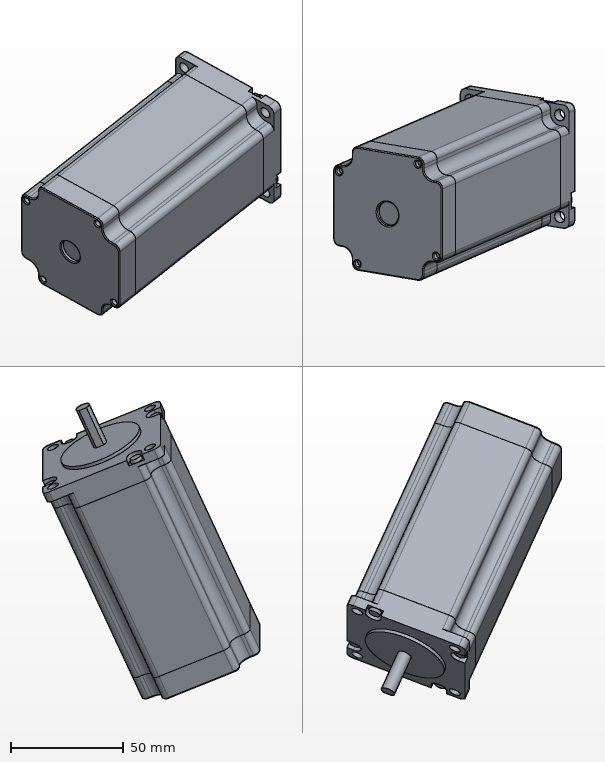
import cadquery as cq

width = 57.0
total_length = 133.0
body_length = 112.0
shaft_reach = total_length - body_length

flange_thickness = 4.8
front_length = 12.1
rear_length = 11.5
stator_length = body_length - front_length - rear_length

corner_radius = 3.0
mount_hole_offset = 23.5
mount_hole_diameter = 5.2
notch_wall_offset = 18.8
notch_radius = 5.0

pilot_diameter = 38.2
pilot_height = 1.6
shaft_diameter = 6.4
shaft_flat_offset = 2.7

rear_chamfer = 0.5
rear_recess_diameter = 12.0
rear_recess_depth = 1.9
rear_recess_chamfer = 0.5

screw_near_offset = 15.8
screw_far_offset = 25.4
screw_diameter = 2.9
screw_head_diameter = 5.9
screw_head_top_diameter = 5.0
screw_head_height = 1.6
screw_tip_recess = 2.7
screw_hole_chamfer = 0.5
screw_slot_width = 7.5
screw_slot_depth = 2.8

half_width = width / 2
notch_middle = (half_width + notch_wall_offset) / 2
front_back_y = -front_length
rear_front_y = front_back_y - stator_length
rear_face_y = -body_length
overcut = 1.3

SCREW_ANGLES = [0, 90, 180, 270]


def along_minus_y(y):
    """Sketch plane at height y, with local axes +X and +Z, that extrudes towards -Y."""
    return cq.Workplane("XZ", origin=(0, y, 0))


def turned(shape, angle):
    """Turn a shape about the motor axis."""
    return shape.rotate((0, 0, 0), (0, 1, 0), angle)


def notched_block(y, length):
    """Square block with a rounded notch at each corner, running from y towards -Y."""
    upright = along_minus_y(y).rect(2 * notch_wall_offset, width).extrude(length)
    crosswise = along_minus_y(y).rect(width, 2 * notch_wall_offset).extrude(length)
    cross = upright.union(crosswise)
    concave_edges = cq.selectors.BoxSelector(
        (-notch_middle, y - length, -notch_middle),
        (notch_middle, y, notch_middle),
    )
    block = cross.edges("|Y").edges(concave_edges).fillet(notch_radius)
    outer_faces = block.faces("<X or >X or <Z or >Z")
    return outer_faces.edges("|Y").fillet(corner_radius)


def screw_cylinder(y, diameter, length):
    """Cylinder on the first screw axis, from y towards -Y."""
    return (
        along_minus_y(y)
        .center(screw_near_offset, screw_far_offset)
        .circle(diameter / 2)
        .extrude(length)
    )


def cut_screw_holes(body):
    """Cut the four screw holes through the whole length of a body."""
    hole = screw_cylinder(overcut, screw_diameter, body_length + 2 * overcut)
    for angle in SCREW_ANGLES:
        body = body.cut(turned(hole, angle))
    return body


def make_shaft():
    """Shaft from the mounting face to the tip, with a flat on the -Z side."""
    shaft = along_minus_y(shaft_reach).circle(shaft_diameter / 2).extrude(shaft_reach)
    flat = (
        along_minus_y(shaft_reach)
        .center(0, -shaft_flat_offset - shaft_diameter / 2)
        .rect(2 * shaft_diameter, shaft_diameter)
        .extrude(shaft_reach - pilot_height)
    )
    return shaft.cut(flat)


def make_screw_slot():
    """Round-ended pocket for a screw head, open to the front and to the side of the flange."""
    round_end = screw_cylinder(overcut, screw_slot_width, screw_slot_depth + overcut)
    opening_length = half_width + overcut - screw_far_offset
    opening = (
        along_minus_y(overcut)
        .center(screw_near_offset, screw_far_offset + opening_length / 2)
        .rect(screw_slot_width, opening_length)
        .extrude(screw_slot_depth + overcut)
    )
    return round_end.union(opening)


def make_front_cap():
    """Mounting flange with pilot and integral shaft, and the notched part that meets the stator."""
    flange = (
        along_minus_y(0)
        .rect(width, width)
        .extrude(flange_thickness)
        .edges("|Y")
        .fillet(corner_radius)
    )
    mount_holes = (
        along_minus_y(0)
        .rect(2 * mount_hole_offset, 2 * mount_hole_offset, forConstruction=True)
        .vertices()
        .circle(mount_hole_diameter / 2)
        .extrude(flange_thickness)
    )
    cap = flange.cut(mount_holes)
    cap = cap.union(notched_block(-flange_thickness, front_length - flange_thickness))
    slot = make_screw_slot()
    for angle in SCREW_ANGLES:
        cap = cap.cut(turned(slot, angle))
    cap = cut_screw_holes(cap)
    pilot = along_minus_y(pilot_height).circle(pilot_diameter / 2).extrude(pilot_height)
    return cap.union(pilot).union(make_shaft())


def make_stator():
    """Middle of the housing."""
    return cut_screw_holes(notched_block(front_back_y, stator_length))


def rear_countersink(diameter, depth):
    """45 degree cone on the motor axis that widens to the given diameter at the rear face."""
    return (
        along_minus_y(rear_face_y + depth)
        .circle(diameter / 2 - depth)
        .workplane(offset=depth)
        .circle(diameter / 2)
        .loft(ruled=True)
    )


def make_rear_cap():
    """Rear of the housing, with a chamfered outline and a shallow round recess."""
    cap = notched_block(rear_front_y, rear_length).faces("<Y").chamfer(rear_chamfer)
    recess = (
        along_minus_y(rear_face_y + rear_recess_depth)
        .circle(rear_recess_diameter / 2 - rear_recess_chamfer)
        .extrude(rear_recess_depth)
    )
    cap = cap.cut(recess).cut(rear_countersink(rear_recess_diameter, rear_recess_chamfer))
    cap = cut_screw_holes(cap)
    countersink_diameter = screw_diameter + 2 * screw_hole_chamfer
    countersink = rear_countersink(countersink_diameter, screw_hole_chamfer).translate(
        (screw_near_offset, 0, screw_far_offset)
    )
    for angle in SCREW_ANGLES:
        cap = cap.cut(turned(countersink, angle))
    return cap


def make_screw():
    """Screw on the first screw axis, with its head on the floor of the slot."""
    base_radius = screw_head_diameter / 2
    top_radius = screw_head_top_diameter / 2
    taper = base_radius - top_radius
    side_arc_radius = (taper**2 + screw_head_height**2) / (2 * taper)
    head = (
        cq.Workplane("XY")
        .lineTo(base_radius, 0)
        .radiusArc((top_radius, screw_head_height), -side_arc_radius)
        .lineTo(0, screw_head_height)
        .close()
        .revolve(360, (0, 0), (0, 1))
        .translate((screw_near_offset, -screw_slot_depth, screw_far_offset))
    )
    shank_length = body_length - screw_slot_depth - screw_tip_recess
    return head.union(screw_cylinder(-screw_slot_depth, screw_diameter, shank_length))


front_cap = make_front_cap()
stator = make_stator()
rear_cap = make_rear_cap()
screws = [turned(make_screw(), angle) for angle in SCREW_ANGLES]

result = cq.Compound.makeCompound(
    [front_cap.val(), stator.val(), rear_cap.val(), *[screw.val() for screw in screws]]
)